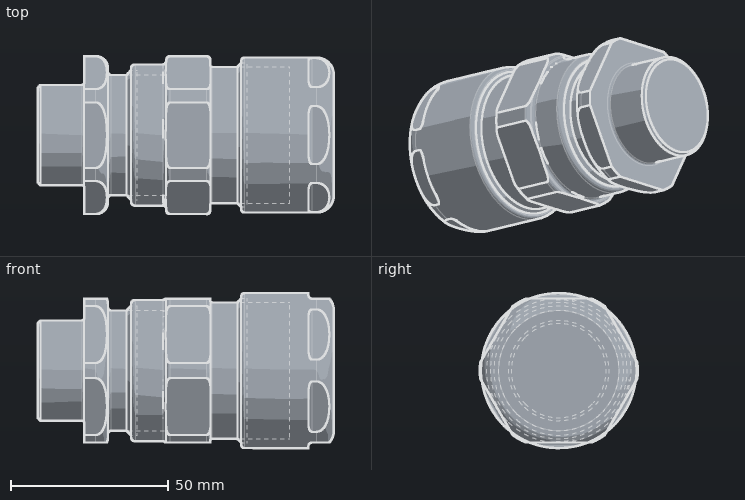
import cadquery as cq
import math


across_flats = 45.9
hex_sides = 6
hex_corner_radius = 50.4 / 2
flat_distance = across_flats / 2

thread_radius = 32.0 / 2
thread_chamfer = 0.9
thread_cove = 0.7
entry_hex_start = 14.8
entry_hex_end = 22.5
entry_hex_round = 4.0
entry_neck_radius = 38.4 / 2
entry_neck_cove = 0.9

collar_start = 29.7
collar_radius = 45.1 / 2
collar_round = 1.4
body_hex_start = 41.0
body_hex_end = 55.05
body_hex_round = 1.2
body_hex_cove = 0.9
entry_neck_end = body_hex_start
body_neck_radius = 43.5 / 2
body_neck_cove = 0.5
body_neck_end = 80.3

cap_start = 64.9
cap_end = 94.4
cap_radius = 49.5 / 2
cap_mouth_round = 1.0
cap_end_round = 5.6
cap_flat_start = 86.3
cap_flat_cove = 1.1

entry_seal_lip = 1.4
body_seal_lip = 1.2
seal_seat_depth = 1.9


def revolve_about_x(outline):
    """Close a half section drawn in the XY plane and revolve it about the X axis."""
    return outline.close().revolve(360, (0, 0, 0), (1, 0, 0))


def cylinder(start, end, radius):
    return cq.Workplane("YZ").workplane(offset=start).circle(radius).extrude(end - start)


def hex_prism(start, end):
    """Hexagonal prism along X with corners on +Y and -Y and flats on +Z and -Z."""
    corner_diameter = across_flats / math.cos(math.pi / hex_sides)
    return cq.Workplane("YZ").workplane(offset=start).polygon(hex_sides, corner_diameter).extrude(end - start)


def make_entry_fitting():
    outline = (
        cq.Workplane("XY")
        .lineTo(0, thread_radius - thread_chamfer)
        .lineTo(thread_chamfer, thread_radius)
        .lineTo(entry_hex_start - thread_cove, thread_radius)
        .radiusArc((entry_hex_start, thread_radius + thread_cove), -thread_cove)
        .lineTo(entry_hex_start, hex_corner_radius)
        .lineTo(entry_hex_end - entry_hex_round, hex_corner_radius)
        .radiusArc((entry_hex_end, hex_corner_radius - entry_hex_round), entry_hex_round)
        .lineTo(entry_hex_end, entry_neck_radius + entry_neck_cove)
        .radiusArc((entry_hex_end + entry_neck_cove, entry_neck_radius), -entry_neck_cove)
        .lineTo(entry_neck_end, entry_neck_radius)
        .lineTo(entry_neck_end, 0)
    )
    return revolve_about_x(outline).intersect(hex_prism(0, entry_neck_end))


def make_gland_body():
    outline = (
        cq.Workplane("XY")
        .moveTo(collar_start, 0)
        .lineTo(collar_start, collar_radius - collar_round)
        .radiusArc((collar_start + collar_round, collar_radius), collar_round)
        .lineTo(body_hex_start - body_hex_cove, collar_radius)
        .radiusArc((body_hex_start, collar_radius + body_hex_cove), -body_hex_cove)
        .lineTo(body_hex_start, hex_corner_radius - body_hex_round)
        .radiusArc((body_hex_start + body_hex_round, hex_corner_radius), body_hex_round)
        .lineTo(body_hex_end - body_hex_round, hex_corner_radius)
        .radiusArc((body_hex_end, hex_corner_radius - body_hex_round), body_hex_round)
        .lineTo(body_hex_end, body_neck_radius + body_neck_cove)
        .radiusArc((body_hex_end + body_neck_cove, body_neck_radius), -body_neck_cove)
        .lineTo(body_neck_end, body_neck_radius)
        .lineTo(body_neck_end, 0)
    )
    body = revolve_about_x(outline).intersect(hex_prism(collar_start, body_neck_end))
    seal_seat = cylinder(collar_start, collar_start + seal_seat_depth, entry_neck_radius + entry_seal_lip)
    socket = cylinder(collar_start, entry_neck_end, entry_neck_radius)
    return body.cut(seal_seat).cut(socket)


def make_cap_flat_cutter():
    """Bar that mills one flat on top of the cap, with a concave radius at its inner end."""
    clearance = 0.9
    top = cap_radius + clearance
    return (
        cq.Workplane("XZ")
        .moveTo(cap_flat_start, top)
        .lineTo(cap_flat_start, flat_distance + cap_flat_cove)
        .radiusArc((cap_flat_start + cap_flat_cove, flat_distance), -cap_flat_cove)
        .lineTo(cap_end + clearance, flat_distance)
        .lineTo(cap_end + clearance, top)
        .close()
        .extrude(cap_radius, both=True)
    )


def make_cap_nut():
    outline = (
        cq.Workplane("XY")
        .moveTo(cap_start, 0)
        .lineTo(cap_start, cap_radius - cap_mouth_round)
        .radiusArc((cap_start + cap_mouth_round, cap_radius), cap_mouth_round)
        .lineTo(cap_end - cap_end_round, cap_radius)
        .radiusArc((cap_end, cap_radius - cap_end_round), cap_end_round)
        .lineTo(cap_end, 0)
    )
    cap = revolve_about_x(outline)
    flat_cutter = make_cap_flat_cutter()
    for side in range(hex_sides):
        cap = cap.cut(flat_cutter.rotate((0, 0, 0), (1, 0, 0), 360 / hex_sides * side))
    seal_seat = cylinder(cap_start, cap_start + seal_seat_depth, body_neck_radius + body_seal_lip)
    socket = cylinder(cap_start, body_neck_end, body_neck_radius)
    return cap.cut(seal_seat).cut(socket)


def make_lip_seal(nut_face, neck_radius, lip):
    """Ring around a neck: a 45 degree lip in front of the nut face and a straight part in its seat."""
    outline = (
        cq.Workplane("XY")
        .moveTo(nut_face - lip, neck_radius)
        .lineTo(nut_face, neck_radius + lip)
        .lineTo(nut_face + seal_seat_depth, neck_radius + lip)
        .lineTo(nut_face + seal_seat_depth, neck_radius)
    )
    return revolve_about_x(outline)


entry_fitting = make_entry_fitting()
gland_body = make_gland_body()
cap_nut = make_cap_nut()

lip_seals = []
for nut_face, neck_radius, lip in (
    (collar_start, entry_neck_radius, entry_seal_lip),
    (cap_start, body_neck_radius, body_seal_lip),
):
    lip_seals.append(make_lip_seal(nut_face, neck_radius, lip).val())

result = cq.Compound.makeCompound([entry_fitting.val(), gland_body.val(), cap_nut.val(), *lip_seals])